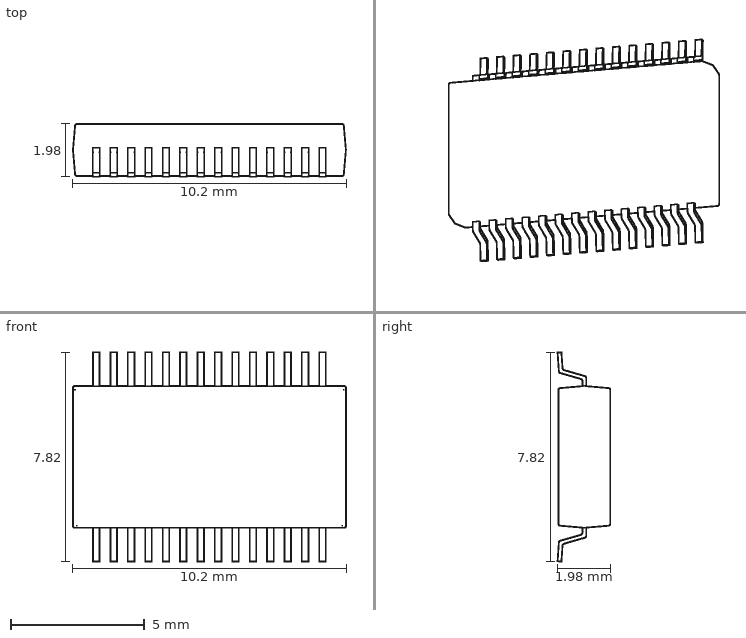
import cadquery as cq
import math

body_length = 10.2
body_height = 5.3
body_depth = 1.95
draft_angle = 5.0
body_fillet = 0.08

leads_per_side = 14
lead_row_span = 8.45
lead_pitch = lead_row_span / (leads_per_side - 1)
lead_width = 0.25
lead_thickness = 0.15
lead_embed = 0.1

overall_height = 7.82
overall_depth = 1.98
arm_slope = 16.0
foot_lean = 4.0
knee_height = 2.95
convex_bend_radius = 0.09
concave_bend_radius = 0.08


def make_body():
    half = (
        cq.Workplane("XZ")
        .rect(body_length, body_height)
        .extrude(body_depth / 2, taper=draft_angle)
        .edges("not >Y")
        .fillet(body_fillet)
    )
    return half.union(half.mirror("XZ"))


def lead_centreline():
    """Corner points (Y, Z) of the lead's mid-line, from inside the body to the tip."""
    lean = math.radians(foot_lean)
    slope = math.tan(math.radians(arm_slope))
    half_thickness = lead_thickness / 2
    tip_out = overall_depth - body_depth / 2 - half_thickness * math.cos(lean)
    tip_z = overall_height / 2 - half_thickness * math.sin(lean)
    tip_above_arm = tip_z - knee_height - slope * tip_out
    heel_out = tip_out - tip_above_arm * math.tan(lean) / (1 - slope * math.tan(lean))
    heel_z = knee_height + slope * heel_out
    return [
        (0, body_height / 2 - lead_embed),
        (0, knee_height),
        (-heel_out, heel_z),
        (-tip_out, tip_z),
    ]


def offset_path(path, distance):
    """Shift an open path to its left, keeping mitred corners."""
    angles = [math.atan2(z1 - z0, y1 - y0) for (y0, z0), (y1, z1) in zip(path, path[1:])]
    shifted = []
    for (y, z), before, after in zip(path, angles[:1] + angles, angles + angles[-1:]):
        middle = (before + after) / 2
        reach = distance / math.cos((after - before) / 2)
        shifted.append((y - reach * math.sin(middle), z + reach * math.cos(middle)))
    return shifted


def round_bend(lead, corner, radius):
    """Fillet the lead's edge along X that passes through the (Y, Z) corner."""
    edge = cq.selectors.NearestToPointSelector((0, *corner))
    return lead.edges(edge).fillet(radius)


def make_lead():
    path = lead_centreline()
    back_side = offset_path(path, -lead_thickness / 2)
    front_side = offset_path(path, lead_thickness / 2)
    lead = (
        cq.Workplane("YZ")
        .polyline(back_side + front_side[::-1])
        .close()
        .extrude(lead_width / 2, both=True)
    )
    _, back_knee, back_heel, _ = back_side
    _, front_knee, front_heel, _ = front_side
    for corner in (back_knee, front_heel):
        lead = round_bend(lead, corner, convex_bend_radius)
    for corner in (front_knee, back_heel):
        lead = round_bend(lead, corner, concave_bend_radius)
    return lead


result = make_body()
top_lead = make_lead()
bottom_lead = top_lead.mirror("XY")
for index in range(leads_per_side):
    x = index * lead_pitch - lead_row_span / 2
    result = result.union(top_lead.translate((x, 0, 0)))
    result = result.union(bottom_lead.translate((x, 0, 0)))